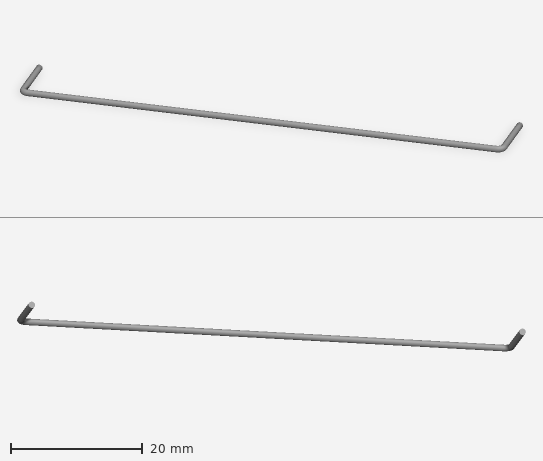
import cadquery as cq

length = 77.0
depth = 10.0
wire_diameter = 1.0
inner_bend_radius = 0.5

wire_radius = wire_diameter / 2
bend_radius = inner_bend_radius + wire_radius

leg_x = length / 2 - wire_radius
leg_end_y = depth / 2
bar_y = -depth / 2 + wire_radius

bend_start_y = bar_y + bend_radius
bar_end_x = leg_x - bend_radius
centreline = (
    cq.Workplane("XY")
    .moveTo(-leg_x, leg_end_y)
    .lineTo(-leg_x, bend_start_y)
    .tangentArcPoint((-bar_end_x, bar_y), relative=False)
    .lineTo(bar_end_x, bar_y)
    .tangentArcPoint((leg_x, bend_start_y), relative=False)
    .lineTo(leg_x, leg_end_y)
)

result = (
    cq.Workplane("XZ", origin=(-leg_x, leg_end_y, 0))
    .circle(wire_radius)
    .sweep(centreline)
)